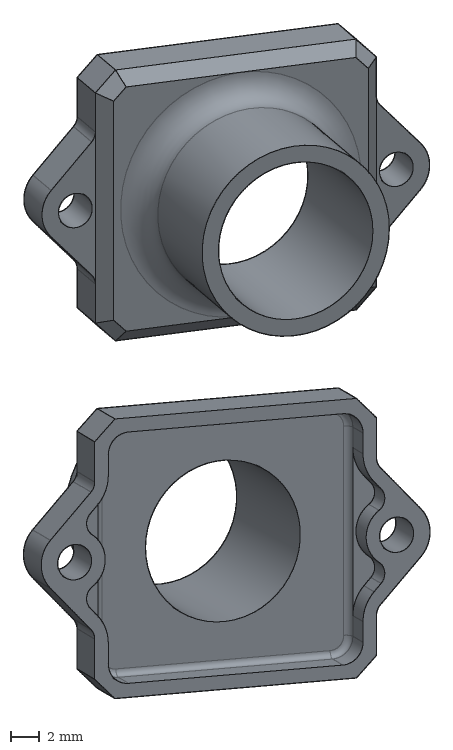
import cadquery as cq
import math

plate_width = 21.0
plate_height = 20.0
plate_thickness = 3.5
corner_cut = 1.5
back_chamfer = 0.99
base_thickness = plate_thickness + back_chamfer

total_length = 15.0
tube_diameter = 14.0
bore_diameter = 11.53
tube_root_fillet = 2.0

overall_width = 28.98
hole_diameter = 2.52
hole_offset = 12.0
ear_radius = overall_width / 2 - hole_offset
ear_angle = math.radians(43.4)
ear_root_fillet = 1.0

wall = 1.0
recess_depth = 2.5
recess_corner_radius = 1.5
recess_floor_fillet = 0.5
recess_half_width = plate_width / 2 - wall
lobe_depth = recess_depth - recess_floor_fillet
lobe_radius = 1.0
lobe_blend_radius = 3.0
boss_radius = hole_diameter / 2 + wall


def polar(center, radius, angle):
    """Point at the given radius and angle around a center in the YZ plane."""
    return (center[0] + radius * math.cos(angle), center[1] + radius * math.sin(angle))


def mirror_z(point):
    return (point[0], -point[1])


hole_center = (hole_offset, 0)


def blend_center(side_y, edge_distance, radius):
    """Center of the arc that joins a side wall at side_y to a slanted ear edge.

    The edge lies at edge_distance from the hole center.
    """
    y = side_y + radius
    z = (edge_distance + radius - (y - hole_offset) * math.cos(ear_angle)) / math.sin(ear_angle)
    return (y, z)


root_center = blend_center(plate_width / 2, ear_radius, ear_root_fillet)
root_z = root_center[1]
blend_start_angle = math.pi
blend_end_angle = math.pi + ear_angle
blend_mid_angle = (blend_start_angle + blend_end_angle) / 2


def make_plate():
    """Plate with cut corners and a chamfered back edge."""
    return (
        cq.Workplane("YZ")
        .rect(plate_width, plate_height)
        .extrude(base_thickness)
        .edges("|X")
        .chamfer(corner_cut)
        .faces(">X")
        .chamfer(back_chamfer)
    )


def make_ear():
    """Rounded ear on the +Y side, blended into the side of the plate."""
    tip = polar(hole_center, ear_radius, 0)
    edge_outer = polar(hole_center, ear_radius, ear_angle)
    edge_inner = polar(root_center, ear_root_fillet, blend_end_angle)
    root_mid = polar(root_center, ear_root_fillet, blend_mid_angle)
    root_start = polar(root_center, ear_root_fillet, blend_start_angle)
    return (
        cq.Workplane("YZ")
        .moveTo(0, root_z)
        .lineTo(*root_start)
        .threePointArc(root_mid, edge_inner)
        .lineTo(*edge_outer)
        .threePointArc(tip, mirror_z(edge_outer))
        .lineTo(*mirror_z(edge_inner))
        .threePointArc(mirror_z(root_mid), mirror_z(root_start))
        .lineTo(0, -root_z)
        .close()
        .extrude(plate_thickness)
    )


def make_tube():
    """Tube flaring into the back of the plate."""
    radius = tube_diameter / 2
    flare_end = base_thickness + tube_root_fillet
    flare_center = (flare_end, radius + tube_root_fillet)
    return (
        cq.Workplane("XY")
        .moveTo(plate_thickness, 0)
        .lineTo(plate_thickness, radius + tube_root_fillet)
        .lineTo(base_thickness, radius + tube_root_fillet)
        .threePointArc(
            polar(flare_center, tube_root_fillet, math.radians(225)), (flare_end, radius)
        )
        .lineTo(total_length, radius)
        .lineTo(total_length, 0)
        .close()
        .revolve(360, (0, 0, 0), (1, 0, 0))
    )


def make_recess():
    """Rectangular recess with rounded corners and a filleted floor."""
    return (
        cq.Workplane("YZ")
        .rect(2 * recess_half_width, plate_height - 2 * wall)
        .extrude(recess_depth)
        .edges("|X")
        .fillet(recess_corner_radius)
        .faces(">X")
        .edges()
        .fillet(recess_floor_fillet)
    )


def make_lobes():
    """Pair of lobes widening the recess into the +Y ear, around the hole's boss."""
    edge_distance = ear_radius - wall
    blend = blend_center(recess_half_width, edge_distance, lobe_blend_radius)
    outer_start = polar(blend, lobe_blend_radius, blend_start_angle)
    outer_mid = polar(blend, lobe_blend_radius, blend_mid_angle)
    outer_end = polar(blend, lobe_blend_radius, blend_end_angle)

    center_distance = edge_distance - lobe_radius
    center_angle = ear_angle + math.acos(center_distance / (boss_radius + lobe_radius))
    lobe_center = polar(hole_center, boss_radius + lobe_radius, center_angle)
    boss_side_angle = center_angle - math.pi
    lobe_start = polar(lobe_center, lobe_radius, ear_angle)
    lobe_mid = polar(lobe_center, lobe_radius, (ear_angle + boss_side_angle) / 2)
    lobe_end = polar(lobe_center, lobe_radius, boss_side_angle)
    boss_front = polar(hole_center, boss_radius, math.pi)
    inner_y = recess_half_width - recess_corner_radius
    return (
        cq.Workplane("YZ")
        .moveTo(inner_y, blend[1])
        .lineTo(*outer_start)
        .threePointArc(outer_mid, outer_end)
        .lineTo(*lobe_start)
        .threePointArc(lobe_mid, lobe_end)
        .threePointArc(boss_front, mirror_z(lobe_end))
        .threePointArc(mirror_z(lobe_mid), mirror_z(lobe_start))
        .lineTo(*mirror_z(outer_end))
        .threePointArc(mirror_z(outer_mid), mirror_z(outer_start))
        .lineTo(inner_y, -blend[1])
        .close()
        .extrude(lobe_depth)
    )


def both_sides(body):
    """The body together with its mirror image across the XZ plane."""
    return body.union(body.mirror("XZ"))


bore = cq.Workplane("YZ").circle(bore_diameter / 2).extrude(total_length)
mounting_holes = (
    cq.Workplane("YZ")
    .pushPoints([(-hole_offset, 0), (hole_offset, 0)])
    .circle(hole_diameter / 2)
    .extrude(plate_thickness)
)

result = (
    make_plate()
    .union(both_sides(make_ear()))
    .union(make_tube())
    .cut(make_recess())
    .cut(both_sides(make_lobes()))
    .cut(bore)
    .cut(mounting_holes)
)